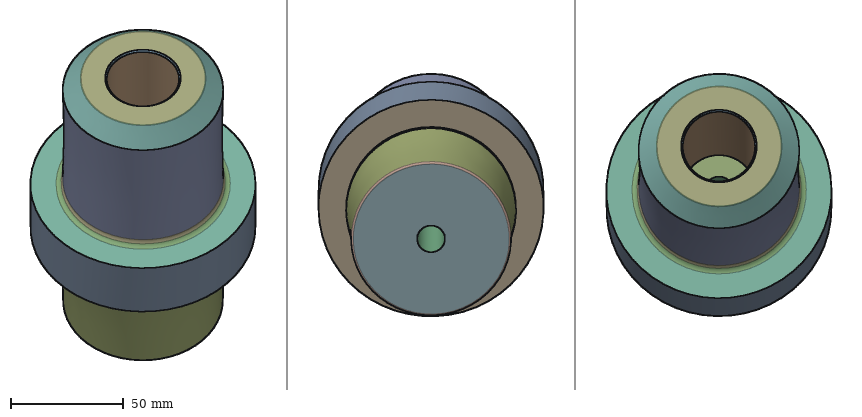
import cadquery as cq

total_height = 149.9
flange_bottom = 49.8
flange_top = 79.0
flange_radius = 49.99

shank_end_radius = 35.7
shank_waist_radius = 35.2
lead_in = 8.0
top_edge_round = 0.5

root_radius = 38.7
root_height = 3.0
root_edge_radius = 36.5
root_edge_height = 1.0

neck_radius = 37.5
neck_height = 2.2
taper_top_radius = 37.8
taper_bottom_radius = 35.5
bottom_edge_round = 0.9

bore_radius = 16.0
bore_bottom = flange_top
bore_chamfer = 0.7
through_hole_radius = 6.1


def revolve_about_axis(profile):
    return profile.revolve(360, (0, 0, 0), (0, 1, 0))


def make_upper_shank():
    """Waisted shank standing on the flange's upper face."""
    root_z = flange_top + root_height
    shoulder_z = total_height - lead_in
    waist_z = (root_z + shoulder_z) / 2
    profile = (
        cq.Workplane("XZ")
        .moveTo(0, total_height)
        .lineTo(shank_end_radius - lead_in, total_height)
        .lineTo(shank_end_radius, shoulder_z)
        .threePointArc((shank_waist_radius, waist_z), (shank_end_radius, root_z))
        .tangentArcPoint((root_edge_radius, flange_top + root_edge_height), relative=False)
        .tangentArcPoint((root_radius, flange_top), relative=False)
        .lineTo(0, flange_top)
        .close()
    )
    return revolve_about_axis(profile).faces(">Z").edges().fillet(top_edge_round)


def make_flange():
    height = flange_top - flange_bottom
    return cq.Workplane("XY").workplane(offset=flange_bottom).circle(flange_radius).extrude(height)


def make_lower_shank():
    """Neck and taper; the taper's concave arc runs out parallel to the axis at the bottom."""
    taper_top = flange_bottom - neck_height
    profile = (
        cq.Workplane("XZ")
        .lineTo(taper_bottom_radius - bottom_edge_round, 0)
        .tangentArcPoint((taper_bottom_radius, bottom_edge_round), relative=False)
        .tangentArcPoint((taper_top_radius, taper_top), relative=False)
        .lineTo(neck_radius, taper_top)
        .lineTo(neck_radius, flange_bottom)
        .lineTo(0, flange_bottom)
        .close()
    )
    return revolve_about_axis(profile)


def cut_bore(body):
    """Blind bore from the top with a chamfered mouth, and a smaller hole right through."""
    bore = cq.Workplane("XY").workplane(offset=bore_bottom).circle(bore_radius)
    bore = bore.extrude(total_height - bore_bottom)
    hole = cq.Workplane("XY").circle(through_hole_radius).extrude(total_height)
    bored = body.cut(bore).cut(hole)
    mouth_edge = cq.selectors.RadiusNthSelector(0)
    return bored.faces(">Z").edges(mouth_edge).chamfer(bore_chamfer)


body = make_upper_shank().union(make_flange()).union(make_lower_shank())
result = cut_bore(body)